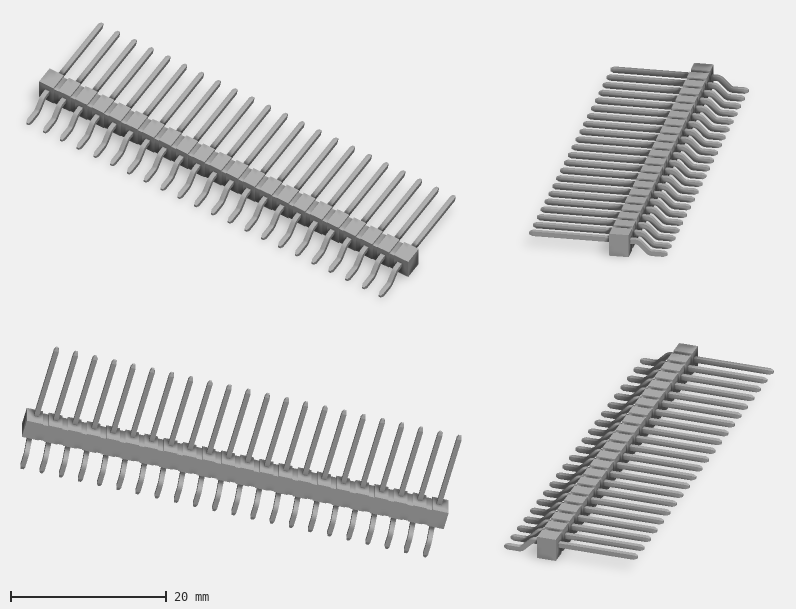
import cadquery as cq
import math

pin_count = 22
strip_length = 55.9
pitch = strip_length / pin_count
strip_depth = pitch
strip_height = 3.1
block_width = 1.8
neck_drop = 0.3
neck_inset = 0.1

total_depth = 18.05
tail_length = 10.7
wire = pitch / 4
pin_height = 1.8
bend_start = 0.65
bend_radius = 0.9
bend_angle = math.radians(45)
tip_length = 0.45
tip_width = 0.35

half_depth = strip_depth / 2
neck_width = pitch - block_width
foot_height = wire / 2
tail_root = half_depth + tail_length - tip_length
foot_root = half_depth + tail_length - total_depth + tip_length
first_pin = (pitch - strip_length) / 2
pin_places = [first_pin + i * pitch for i in range(pin_count)]


def make_strip():
    """Plain strip with a notch across the top and both sides at every neck."""
    strip = cq.Workplane("XY").box(strip_length, strip_depth, strip_height, centered=(True, True, False))
    neck_count = pin_count - 1

    def notches(y, z, depth, height):
        row = cq.Workplane("XY", origin=(0, y, z)).rarray(pitch, 0.55, neck_count, 1)
        return row.box(neck_width, depth, height)

    strip = strip.cut(notches(0, strip_height - neck_drop / 2, strip_depth, neck_drop))
    for side in (-1, 1):
        y = side * (half_depth - neck_inset / 2)
        strip = strip.cut(notches(y, strip_height / 2, neck_inset, strip_height))
    return strip


def pin_path():
    """Centre line of a pin in the YZ plane, between the roots of its two tips."""
    arc_run = bend_radius * math.sin(bend_angle)
    arc_fall = bend_radius * (1 - math.cos(bend_angle))
    mid_run = bend_radius * math.sin(bend_angle / 2)
    mid_fall = bend_radius * (1 - math.cos(bend_angle / 2))
    slope_fall = pin_height - foot_height - 2 * arc_fall
    slope_run = slope_fall / math.tan(bend_angle)

    upper_y = -half_depth - bend_start
    lower_y = upper_y - 2 * arc_run - slope_run
    upper_middle = (upper_y - mid_run, pin_height - mid_fall)
    upper_end = (upper_y - arc_run, pin_height - arc_fall)
    lower_start = (lower_y + arc_run, foot_height + arc_fall)
    lower_middle = (lower_y + mid_run, foot_height + mid_fall)
    return (
        cq.Workplane("YZ")
        .moveTo(tail_root, pin_height)
        .lineTo(upper_y, pin_height)
        .threePointArc(upper_middle, upper_end)
        .lineTo(*lower_start)
        .threePointArc(lower_middle, (lower_y, foot_height))
        .lineTo(foot_root, foot_height)
    )


def cross_section(y, height, direction):
    """Square wire section at one place along a pin, facing +Y or -Y."""
    plane = cq.Plane(origin=(0, y, height), xDir=(1, 0, 0), normal=(0, direction, 0))
    return cq.Workplane(plane).rect(wire, wire)


def make_tip(root_y, height, direction):
    """Four-sided taper that ends a pin, pointing along +Y or -Y."""
    root = cross_section(root_y, height, direction)
    return root.workplane(offset=tip_length).rect(tip_width, tip_width).loft(ruled=True)


def make_pin():
    """One bent pin with a taper at each end, centred on X = 0."""
    bar = cross_section(tail_root, pin_height, -1).sweep(pin_path())
    tail_tip = make_tip(tail_root, pin_height, 1)
    foot_tip = make_tip(foot_root, foot_height, -1)
    return bar.union(tail_tip).union(foot_tip).solids()


def make_end_pins():
    """Two loose pins, one through each end block."""
    return [make_pin().translate((x, 0, 0)) for x in (pin_places[0], pin_places[-1])]


def make_header(end_pins):
    """Strip in one piece with its inner pins, with a hole for each end pin."""
    header = make_strip()
    inner_pin = make_pin()
    for x in pin_places[1:-1]:
        header = header.union(inner_pin.translate((x, 0, 0)))
    for end_pin in end_pins:
        header = header.cut(end_pin)
    return header.solids()


end_pins = make_end_pins()
header = make_header(end_pins)

result = cq.Compound.makeCompound([header.val(), *[end_pin.val() for end_pin in end_pins]])